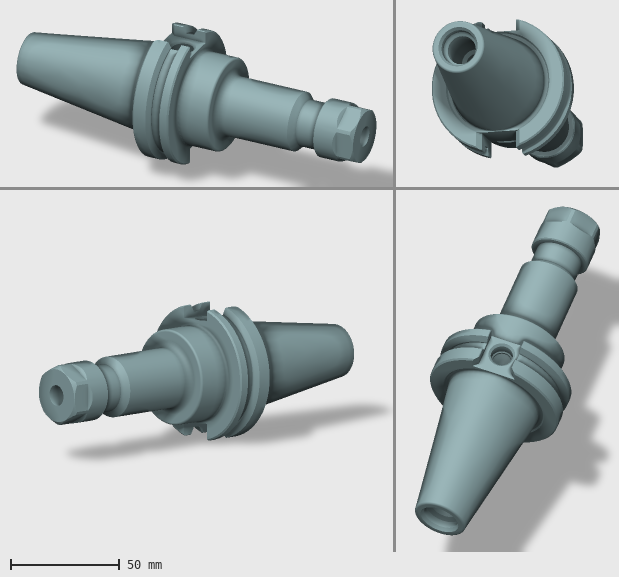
import cadquery as cq
import math

TOTAL_LENGTH = 172.9

TAPER_LENGTH = 68.3
TAPER_RATIO = 7 / 24
GAUGE_RADIUS = 44.5 / 2
TAPER_END_FILLET = 1.0

FLANGE_START = 69.0
FLANGE_END = 87.3
FLANGE_RADIUS = 31.6
FLANGE_CHAMFER = 0.7
FLANGE_BACK_CHAMFER = 0.7
GROOVE_START = 77.5
GROOVE_END = 81.5
GROOVE_RADIUS = 28.2
GROOVE_BEVEL_RADIUS = 28.9
GROOVE_BEVEL_ANGLE = 30.0
FACE_RECESS_RADIUS = 24.7
FACE_RECESS_DEPTH = 0.7
TAPER_ROOT_FILLET = 0.7

SLOT_WIDTH = 16.0
SLOT_MOUTH_WIDTH = 20.7
SLOT_RIM_CHAMFER = 0.3
UPPER_SLOT_FLOOR = 24.7
LOWER_SLOT_FLOOR = 22.7

SIDE_HOLE_X = 79.5
SIDE_HOLE_DIAMETER = 10.2
SIDE_HOLE_PILOT_DIAMETER = 8.6
SIDE_HOLE_MOUTH_DIAMETER = 12.3
SIDE_HOLE_DEPTH = 5.2
SIDE_HOLE_PILOT_DEPTH = 6.0
SIDE_HOLE_POINT_ANGLE = 140.0

COLLAR_END = 103.2
COLLAR_END_FILLET = 1.0
COLLAR_FILLET = 1.2
SHANK_RADIUS = 28.2 / 2
SHANK_FILLET = 3.0
SHANK_END = 143.0
NECK_RADIUS = 11.0
NECK_END = 162.5

BORE_RADIUS = 4.8
TAP_DEPTH = 31.1
DRILL_POINT_ANGLE = 120.0
TAP_RADIUS = 13.3 / 2
COUNTERBORE_RADIUS = 8.3
COUNTERBORE_DEPTH = 5.0
BORE_MOUTH_RADIUS = 9.3
BORE_MOUTH_DEPTH = 1.7

COLLET_START = 145.2
COLLET_ANGLE = 8.0
SEAT_MOUTH_RADIUS = 8.1
COLLET_HEAD_RADIUS = 8.5
COLLET_HEAD_LENGTH = 1.7
COLLET_NOSE_RADIUS = 7.0
COLLET_NOSE_ANGLE = 60.0

NUT_START = 153.0
NUT_RADIUS = 27.8 / 2
NUT_BACK_CHAMFER = 0.5
NUT_FRONT_RADIUS = 12.3
NUT_FRONT_CHAMFER_LENGTH = 1.5
HEX_START = 164.5
HEX_ACROSS_FLATS = 24.9
HEX_SIDES = 6


def revolve_about_x(profile):
    """Turn a closed (x, radius) profile into a solid of revolution about X."""
    return profile.close().revolve(360, (0, 0, 0), (1, 0, 0))


def cone_length(radius_change, included_angle):
    """Axial length over which a cone changes its radius by the given amount."""
    return radius_change / math.tan(math.radians(included_angle / 2))


def taper_radius(x):
    """Radius of the steep taper at a given x."""
    return GAUGE_RADIUS - (TAPER_LENGTH - x) * TAPER_RATIO / 2


def tapered_seat_radius():
    """Radius of the collet taper at its rear end."""
    return SEAT_MOUTH_RADIUS - (NECK_END - COLLET_START) * math.tan(math.radians(COLLET_ANGLE))


def collet_nose_start():
    """Where the collet's front cone has narrowed to the nose."""
    drop = COLLET_HEAD_RADIUS - COLLET_NOSE_RADIUS
    return NECK_END + COLLET_HEAD_LENGTH + cone_length(drop, COLLET_NOSE_ANGLE)


def holder_blank():
    """Outside of the holder, from taper to threaded neck."""
    bevel = (FLANGE_RADIUS - GROOVE_BEVEL_RADIUS) * math.tan(math.radians(GROOVE_BEVEL_ANGLE))
    taper_end_radius = taper_radius(TAPER_END_FILLET)
    recess_floor = FLANGE_START + FACE_RECESS_DEPTH
    return revolve_about_x(
        cq.Workplane("XY")
        .moveTo(0, 0)
        .lineTo(0, taper_end_radius - TAPER_END_FILLET)
        .radiusArc((TAPER_END_FILLET, taper_end_radius), TAPER_END_FILLET)
        .lineTo(TAPER_LENGTH, GAUGE_RADIUS)
        .lineTo(recess_floor - TAPER_ROOT_FILLET, GAUGE_RADIUS)
        .radiusArc((recess_floor, GAUGE_RADIUS + TAPER_ROOT_FILLET), -TAPER_ROOT_FILLET)
        .lineTo(recess_floor, FACE_RECESS_RADIUS - FACE_RECESS_DEPTH)
        .lineTo(FLANGE_START, FACE_RECESS_RADIUS)
        .lineTo(FLANGE_START, FLANGE_RADIUS - FLANGE_CHAMFER)
        .lineTo(FLANGE_START + FLANGE_CHAMFER, FLANGE_RADIUS)
        .lineTo(GROOVE_START - bevel, FLANGE_RADIUS)
        .lineTo(GROOVE_START, GROOVE_BEVEL_RADIUS)
        .lineTo(GROOVE_START, GROOVE_RADIUS)
        .lineTo(GROOVE_END, GROOVE_RADIUS)
        .lineTo(GROOVE_END, GROOVE_BEVEL_RADIUS)
        .lineTo(GROOVE_END + bevel, FLANGE_RADIUS)
        .lineTo(FLANGE_END - FLANGE_BACK_CHAMFER, FLANGE_RADIUS)
        .lineTo(FLANGE_END, FLANGE_RADIUS - FLANGE_BACK_CHAMFER)
        .lineTo(FLANGE_END, GAUGE_RADIUS + COLLAR_FILLET)
        .radiusArc((FLANGE_END + COLLAR_FILLET, GAUGE_RADIUS), -COLLAR_FILLET)
        .lineTo(COLLAR_END - COLLAR_END_FILLET, GAUGE_RADIUS)
        .radiusArc((COLLAR_END, GAUGE_RADIUS - COLLAR_END_FILLET), COLLAR_END_FILLET)
        .lineTo(COLLAR_END, SHANK_RADIUS + SHANK_FILLET)
        .radiusArc((COLLAR_END + SHANK_FILLET, SHANK_RADIUS), -SHANK_FILLET)
        .lineTo(SHANK_END - (SHANK_RADIUS - NECK_RADIUS), SHANK_RADIUS)
        .lineTo(SHANK_END, NECK_RADIUS)
        .lineTo(NECK_END, NECK_RADIUS)
        .lineTo(NECK_END, 0)
    )


def holder_bore():
    """Stepped bore: mouth at the small taper end, collet seat at the neck end."""
    step_end = COUNTERBORE_DEPTH + COUNTERBORE_RADIUS - TAP_RADIUS
    tap_cone_end = TAP_DEPTH + cone_length(TAP_RADIUS - BORE_RADIUS, DRILL_POINT_ANGLE)
    return revolve_about_x(
        cq.Workplane("XY")
        .moveTo(0, 0)
        .lineTo(0, BORE_MOUTH_RADIUS)
        .lineTo(BORE_MOUTH_DEPTH, COUNTERBORE_RADIUS)
        .lineTo(COUNTERBORE_DEPTH, COUNTERBORE_RADIUS)
        .lineTo(step_end, TAP_RADIUS)
        .lineTo(TAP_DEPTH, TAP_RADIUS)
        .lineTo(tap_cone_end, BORE_RADIUS)
        .lineTo(COLLET_START, BORE_RADIUS)
        .lineTo(COLLET_START, tapered_seat_radius())
        .lineTo(NECK_END, SEAT_MOUTH_RADIUS)
        .lineTo(NECK_END, 0)
    )


def drive_slot(floor):
    """Slot through the +Z side of the flange, flared at 45 degrees towards the taper."""
    half_width = SLOT_WIDTH / 2
    half_mouth = SLOT_MOUTH_WIDTH / 2
    flare_end = FLANGE_START + half_mouth - half_width
    return (
        cq.Workplane("XY", origin=(0, 0, floor))
        .moveTo(FLANGE_START, -half_mouth)
        .lineTo(flare_end, -half_width)
        .lineTo(FLANGE_END, -half_width)
        .lineTo(FLANGE_END, half_width)
        .lineTo(flare_end, half_width)
        .lineTo(FLANGE_START, half_mouth)
        .close()
        .extrude(FLANGE_RADIUS - floor)
    )


def side_hole():
    """Chamfered blind hole with a narrower drilled pilot, sunk into the upper slot floor."""
    radius = SIDE_HOLE_DIAMETER / 2
    mouth_radius = SIDE_HOLE_MOUTH_DIAMETER / 2
    pilot_radius = SIDE_HOLE_PILOT_DIAMETER / 2
    return (
        cq.Workplane("XZ", origin=(SIDE_HOLE_X, 0, UPPER_SLOT_FLOOR))
        .lineTo(mouth_radius, 0)
        .lineTo(radius, radius - mouth_radius)
        .lineTo(radius, -SIDE_HOLE_DEPTH)
        .lineTo(pilot_radius, -SIDE_HOLE_DEPTH)
        .lineTo(pilot_radius, -SIDE_HOLE_PILOT_DEPTH)
        .lineTo(0, -SIDE_HOLE_PILOT_DEPTH - cone_length(pilot_radius, SIDE_HOLE_POINT_ANGLE))
        .close()
        .revolve(360, (0, 0, 0), (0, 1, 0))
    )


def is_slot_rim(edge):
    """True for an edge where a slot wall meets the outside of the flange."""
    center = edge.Center()
    return math.hypot(center.y, center.z) > FLANGE_RADIUS - SLOT_RIM_CHAMFER


def make_holder():
    upper_slot = drive_slot(UPPER_SLOT_FLOOR)
    lower_slot = drive_slot(LOWER_SLOT_FLOOR).mirror("XY")
    slotted = holder_blank().cut(upper_slot).cut(lower_slot)
    slotted = slotted.edges("|X").filter(is_slot_rim).chamfer(SLOT_RIM_CHAMFER)
    return slotted.cut(holder_bore()).cut(side_hole())


def make_collet():
    """Tapered sleeve that fills the seat and shows at the front of the nut."""
    head_end = NECK_END + COLLET_HEAD_LENGTH
    return revolve_about_x(
        cq.Workplane("XY")
        .moveTo(COLLET_START, BORE_RADIUS)
        .lineTo(COLLET_START, tapered_seat_radius())
        .lineTo(NECK_END, SEAT_MOUTH_RADIUS)
        .lineTo(NECK_END, COLLET_HEAD_RADIUS)
        .lineTo(head_end, COLLET_HEAD_RADIUS)
        .lineTo(collet_nose_start(), COLLET_NOSE_RADIUS)
        .lineTo(TOTAL_LENGTH, COLLET_NOSE_RADIUS)
        .lineTo(TOTAL_LENGTH, BORE_RADIUS)
    )


def nut_blank():
    """Round nut, open at the back for the neck and at the front for the collet."""
    head_end = NECK_END + COLLET_HEAD_LENGTH
    return revolve_about_x(
        cq.Workplane("XY")
        .moveTo(NUT_START, NECK_RADIUS)
        .lineTo(NUT_START, NUT_RADIUS - NUT_BACK_CHAMFER)
        .lineTo(NUT_START + NUT_BACK_CHAMFER, NUT_RADIUS)
        .lineTo(TOTAL_LENGTH - NUT_FRONT_CHAMFER_LENGTH, NUT_RADIUS)
        .lineTo(TOTAL_LENGTH, NUT_FRONT_RADIUS)
        .lineTo(TOTAL_LENGTH, COLLET_NOSE_RADIUS)
        .lineTo(collet_nose_start(), COLLET_NOSE_RADIUS)
        .lineTo(head_end, COLLET_HEAD_RADIUS)
        .lineTo(NECK_END, COLLET_HEAD_RADIUS)
        .lineTo(NECK_END, NECK_RADIUS)
    )


def flat_cutter():
    """Stock outside the flat on the +Y side, with a 45 degree run-out at its back."""
    flat = HEX_ACROSS_FLATS / 2
    depth = NUT_RADIUS - flat
    return (
        cq.Workplane("XY")
        .moveTo(HEX_START, flat)
        .lineTo(TOTAL_LENGTH, flat)
        .lineTo(TOTAL_LENGTH, NUT_RADIUS)
        .lineTo(HEX_START - depth, NUT_RADIUS)
        .close()
        .extrude(NUT_RADIUS, both=True)
    )


def make_nut():
    nut = nut_blank()
    for side in range(HEX_SIDES):
        nut = nut.cut(flat_cutter().rotate((0, 0, 0), (1, 0, 0), side * 360 / HEX_SIDES))
    return nut


holder = make_holder()
collet = make_collet()
nut = make_nut()

result = cq.Compound.makeCompound([holder.val(), collet.val(), nut.val()])